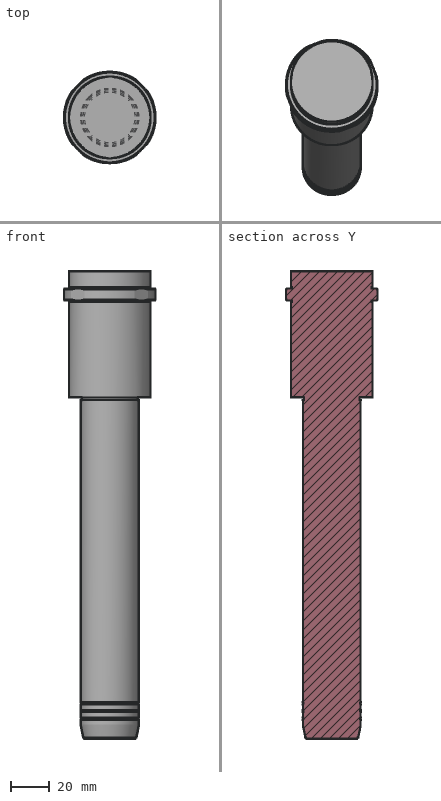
import cadquery as cq

total_length = 240.0
head_radius = 42.0 / 2
head_bottom = 175.2

collar_radius = 23.5
collar_bottom = 225.0
collar_height = 6.2
collar_top = collar_bottom + collar_height
collar_across_flats = 46.0
collar_chamfer = 0.5
relief_radius = 20.6
relief_height = 0.7

shaft_radius = 30.0 / 2
neck_radius = 14.5
neck_height = 1.5

groove_count = 3
lowest_groove_center = 10.3
groove_span = 8.0
groove_pitch = groove_span / (groove_count - 1)
groove_height = 1.13
groove_depth = 0.5

lead_in_height = 7.2
lead_in_end_radius = 13.7
lead_in_mid_radius = 14.5
tip_chamfer = 0.7


def cylinder(radius, bottom, top):
    return cq.Workplane("XY").workplane(offset=bottom).circle(radius).extrude(top - bottom)


def ring(outer_radius, inner_radius, bottom, top):
    return cylinder(outer_radius, bottom, top).cut(cylinder(inner_radius, bottom, top))


def make_v_groove(center):
    """Cutter for a V-shaped groove, revolved from a triangle with its tip at the groove root."""
    half_height = groove_height / 2
    return (
        cq.Workplane("XZ")
        .moveTo(shaft_radius, center - half_height)
        .lineTo(shaft_radius, center + half_height)
        .lineTo(shaft_radius - groove_depth, center)
        .close()
        .revolve(360, (0, 0, 0), (0, 1, 0))
    )


def make_shaft():
    """Shaft, lead-in and neck, revolved from half of the profile."""
    shoulder = head_bottom - neck_height
    lead_in_mid_height = (tip_chamfer + lead_in_height) / 2
    shaft = (
        cq.Workplane("XZ")
        .moveTo(0, 0)
        .lineTo(lead_in_end_radius - tip_chamfer, 0)
        .lineTo(lead_in_end_radius, tip_chamfer)
        .threePointArc((lead_in_mid_radius, lead_in_mid_height), (shaft_radius, lead_in_height))
        .lineTo(shaft_radius, shoulder)
        .lineTo(neck_radius, shoulder)
        .lineTo(neck_radius, head_bottom)
        .lineTo(0, head_bottom)
        .close()
        .revolve(360, (0, 0, 0), (0, 1, 0))
    )
    for index in range(groove_count):
        shaft = shaft.cut(make_v_groove(lowest_groove_center + index * groove_pitch))
    return shaft


def make_head():
    """Plain cylinder with relief grooves on both sides of the collar."""
    head = cylinder(head_radius, head_bottom, total_length)
    for bottom in (collar_bottom - relief_height, collar_top):
        head = head.cut(ring(head_radius, relief_radius, bottom, bottom + relief_height))
    return head


def make_collar():
    """Round collar with four flats on the diagonals and chamfered rims."""
    flats = (
        cq.Workplane("XY")
        .workplane(offset=collar_bottom)
        .transformed(rotate=(0, 0, 45))
        .rect(collar_across_flats, collar_across_flats)
        .extrude(collar_height)
    )
    rim = cylinder(collar_radius, collar_bottom, collar_top).faces("<Z or >Z").chamfer(collar_chamfer)
    return rim.intersect(flats)


result = make_shaft().union(make_head()).union(make_collar())